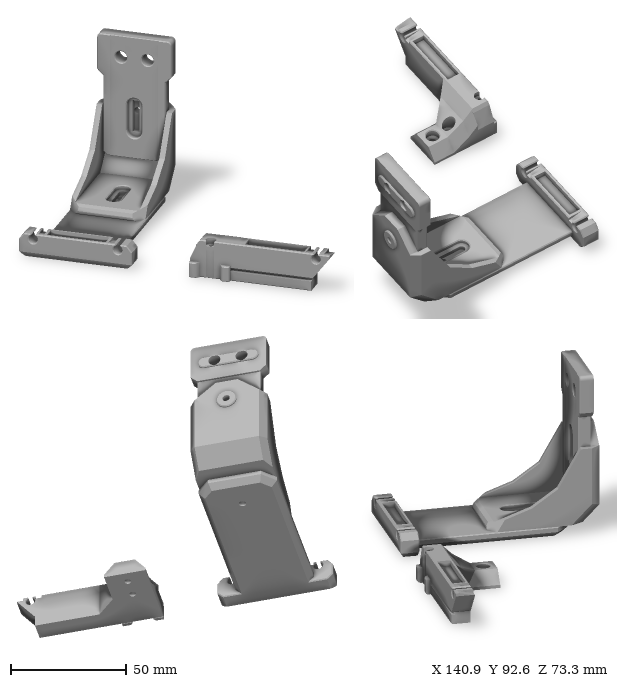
import cadquery as cq


OVERALL_LENGTH = 140.9
EDGE_BREAK = 0.4
SCREW_HOLE_D = 3.2

BAR_HALF_WIDTH = 25.8
BAR_DEPTH = 8.3
BAR_HEIGHT = 11.3
BAR_SHOULDER_WIDTH = 2.4
BAR_SHOULDER_HEIGHT = 3.0
UNDERSIDE_CHAMFER = 2.5
BAR_FRONT_CHAMFER = 1.7
ARM_HALF_WIDTH = 17.5
ARM_THICKNESS = 5.0
ARM_END_Y = 78.0
ARM_CORNER = 5.6
ARM_SCREW_Y = 64.2

NOTCH_D = 4.0
NOTCH_MOUTH = 1.8
NOTCH_DROP = 2.4
POCKET_DEPTH = 2.8
POCKET_FRONT_MARGIN = 1.4
POCKET_REAR_MARGIN = 1.3
RAMP_DEPTH = 1.7
BAR_NOTCH_X = 19.3
BAR_POCKET_HALF_LENGTH = 13.4
BAR_RAMP_INNER_X = 14.7
BAR_RAMP_OUTER_X = 17.2

BRACKET_HALF_WIDTH = 17.2
RIB_THICKNESS = 2.5
INNER_HALF_WIDTH = BRACKET_HALF_WIDTH - RIB_THICKNESS
WALL = 4.0
BACK_Y = 91.6
BACK_INNER_Y = BACK_Y - WALL
BASE_Z = ARM_THICKNESS
BASE_TOP_Z = BASE_Z + WALL
HEEL_CHAMFER = 7.5
INNER_SLOPE = 7.6
BASE_FRONT_Y = 41.5
BASE_FRONT_BEVEL_Y = 1.1
BASE_FRONT_BEVEL_Z = 2.4
RIB_TOP_Z = 39.9
RIB_TOP_FRONT_Y = 82.7
RIB_UPPER_BEND = (72.5, 22.4)
RIB_LOWER_BEND = (60.9, 14.5)
RIB_FRONT_Z = 7.9
BACK_TOP_Z = 47.8
BACK_TOP_HALF_WIDTH = 5.0
SIDE_BEVEL_X = 2.8
TOE_Y = 45.4
TOE_LEAN = 0.6
BOSS_D = 9.0
BOSS_HEIGHT = 1.0
BOSS_Z = 36.9

SLOT_TRAVEL = 11.7
SLOT_HEAD_WIDTH = 7.0
BASE_SLOT_Y = 60.5
BASE_SLOT_DEPTH = 2.0
PLATE_SLOT_Z = 35.2
PLATE_SLOT_DEPTH = 2.5
BRIDGE_STEP = 0.3

PLATE_FRONT_Y = 82.3
PLATE_TOP_Z = 73.3
PLATE_BOTTOM_Z = 16.5
PLATE_HALF_WIDTH = 16.9
PLATE_NECK_HALF_WIDTH = 14.1
PLATE_HEAD_Z = 56.4
PLATE_NECK_Z = PLATE_HEAD_Z - (PLATE_HALF_WIDTH - PLATE_NECK_HALF_WIDTH)
PLATE_HEAD_BACK_Y = 88.5
PLATE_CORNER_RADIUS = 1.8
PLATE_FOOT_CHAMFER = 1.7
PLATE_PANEL_HALF_WIDTH = 11.0
PLATE_PANEL_DEPTH = 0.1
BOLT_HOLE_D = 5.4
BOLT_X = 6.0
BOLT_Z = 63.3
KEY_LENGTH = 27.0
KEY_WIDTH = 5.6
KEY_HEIGHT = 1.0

PROBE_LIFT = 0.3
PROBE_LEFT_X = 51.5
PROBE_TIP_X = OVERALL_LENGTH - BAR_HALF_WIDTH
PROBE_TOP_Z = 17.5
BEAM_FRONT_Y = 1.8
BEAM_BACK_Y = 10.4
BEAM_TOP_LEFT_X = 56.4
BEAM_LEFT_BEND = (55.1, 15.9)
BEAM_LEFT_SLOPE_Z = 8.2
TIP_HEIGHT = 1.4
RAIL_END_X = 106.8
RAIL_TOP_Z = 4.5
GROOVE_DEPTH = 1.7
TIP_UNDER_X = 107.4
TIP_UNDER_Z = 5.9
BLOCK_BACK_Y = 33.1
BLOCK_TOP_Z = 7.3
BLOCK_TOP_LEFT_X = 56.2
BLOCK_TOP_RIGHT_X = 65.4
BLOCK_RIGHT_X = 70.0
BLOCK_BEVEL_DROP = 5.9
WEB_START_Y = 23.0
WEB_BEND_Y = 15.0
WEB_BEND_Z = 12.5
LEG_TOP_Z = 7.0
LEG_FLARE = 1.4
LEG_LEFT_INNER_X = 56.2
LEG_RIGHT_INNER_X = 65.2
PROBE_SCREW_X = 60.7
PROBE_SCREW_YS = (19.5, 27.9)
PROBE_SCREW_HOLE_D = 3.0
SCREW_HEAD_D = 5.9
SCREW_HEAD_FLOOR_Z = 4.0
SWITCH_Y = 3.4
SWITCH_HOLE_D = 4.6
SWITCH_HOLE_DEPTH = 2.7
SWITCH_PILOT_D = 1.8
SWITCH_PILOT_DEPTH = 1.4
SWITCH_GROOVE_WIDTH = 3.8
SWITCH_GROOVE_DEPTH = 0.3
PROBE_NOTCH_X = 108.9
PROBE_POCKET_X = (76.2, 103.1)
PROBE_RAMP_X = (104.0, 106.8)
PROBE_TIP_RAMP_X = 112.1


def box(x0, x1, y0, y1, z0, z1):
    """Box between two opposite corners."""
    return cq.Workplane("XY").box(x1 - x0, y1 - y0, z1 - z0, centered=False).translate((x0, y0, z0))


def prism_x(points, x0, x1):
    """(Y, Z) outline extruded from x0 to x1."""
    return cq.Workplane("YZ", origin=(x0, 0, 0)).polyline(points).close().extrude(x1 - x0)


def prism_y(points, y0, y1):
    """(X, Z) outline extruded from y0 to y1."""
    return cq.Workplane("XZ", origin=(0, y0, 0)).polyline(points).close().extrude(y0 - y1)


def prism_z(points, z0, z1):
    """(X, Y) outline extruded from z0 to z1."""
    return cq.Workplane("XY", origin=(0, 0, z0)).polyline(points).close().extrude(z1 - z0)


def cylinder_y(diameter, x, z, y0, y1):
    """Cylinder along Y."""
    return cq.Workplane("XZ", origin=(x, y0, z)).circle(diameter / 2).extrude(y0 - y1)


def cylinder_z(diameter, x, y, z0, z1):
    """Cylinder along Z."""
    return cq.Workplane("XY", origin=(x, y, z0)).circle(diameter / 2).extrude(z1 - z0)


def both_sides(shape):
    """The shape together with its mirror image across X = 0."""
    return shape.union(shape.mirror("YZ"))


def notch_cutter(x, top_z, y0, y1):
    """Round wire seat along Y with a narrow mouth in the top face, eased where it leaves both faces."""
    axis_z = top_z - NOTCH_DROP
    seat = cylinder_y(NOTCH_D, x, axis_z, y0, y1)
    for face_y, direction in ((y0, 1), (y1, -1)):
        seat = seat.union(hole_ease(NOTCH_D, (x, face_y, axis_z), (0, direction, 0)))
    half_mouth = NOTCH_MOUTH / 2
    mouth = box(x - half_mouth, x + half_mouth, y0, y1, axis_z, top_z)
    mouth_ease = prism_y(
        [
            (x - half_mouth - EDGE_BREAK, top_z),
            (x + half_mouth + EDGE_BREAK, top_z),
            (x + half_mouth, top_z - EDGE_BREAK),
            (x - half_mouth, top_z - EDGE_BREAK),
        ],
        y0,
        y1,
    )
    return seat.union(mouth).union(mouth_ease)


def ramp_cutter(x0, x1, top_z, start_y, end_y):
    """Ramp that falls from the top face at start_y to RAMP_DEPTH at end_y."""
    return prism_x([(start_y, top_z), (end_y, top_z), (end_y, top_z - RAMP_DEPTH)], x0, x1)


def pocket_cutter(x0, x1, top_z, y0, y1):
    """Long pocket in the top face of a bar that lies between y0 and y1."""
    return box(x0, x1, y0 + POCKET_FRONT_MARGIN, y1 - POCKET_REAR_MARGIN, top_z - POCKET_DEPTH, top_z)


def slot_cutter(depth, thickness, bridged):
    """Stepped screw slot along local Y, sunk from Z = 0 into a wall of the given thickness.

    A bridged slot has a full-width step below the head slot and a straight-ended shank slot.
    """
    head_length = SLOT_TRAVEL + SLOT_HEAD_WIDTH
    shank_length = SLOT_TRAVEL + SCREW_HOLE_D
    head = cq.Workplane("XY").slot2D(head_length, SLOT_HEAD_WIDTH, 90).extrude(-depth)
    ease = (
        cq.Workplane("XY")
        .slot2D(head_length + 2 * EDGE_BREAK, SLOT_HEAD_WIDTH + 2 * EDGE_BREAK, 90)
        .extrude(-EDGE_BREAK, taper=45)
    )
    head = head.union(ease)
    if not bridged:
        return head.union(cq.Workplane("XY").slot2D(shank_length, SCREW_HOLE_D, 90).extrude(-thickness))
    step = (
        cq.Workplane("XY").slot2D(head_length, SLOT_HEAD_WIDTH, 90).extrude(-depth - BRIDGE_STEP)
        .intersect(cq.Workplane("XY").rect(SLOT_HEAD_WIDTH, shank_length).extrude(-thickness))
    )
    return head.union(step).union(cq.Workplane("XY").rect(SCREW_HOLE_D, shank_length).extrude(-thickness))


def hole_ease(diameter, mouth, direction):
    """Chamfer cutter for the mouth of a round hole that runs along the given direction."""
    radius = diameter / 2
    cone = cq.Solid.makeCone(
        radius + EDGE_BREAK, radius, EDGE_BREAK, cq.Vector(*mouth), cq.Vector(*direction)
    )
    return cq.Workplane(cone)


def make_dock_arm():
    """Flat sliding arm with the cross bar that carries the dock."""
    arm_outline = [
        (-ARM_HALF_WIDTH, BAR_DEPTH / 2),
        (ARM_HALF_WIDTH, BAR_DEPTH / 2),
        (ARM_HALF_WIDTH, ARM_END_Y - ARM_CORNER),
        (ARM_HALF_WIDTH - ARM_CORNER, ARM_END_Y),
        (ARM_CORNER - ARM_HALF_WIDTH, ARM_END_Y),
        (-ARM_HALF_WIDTH, ARM_END_Y - ARM_CORNER),
    ]
    arm = prism_z(arm_outline, 0, ARM_THICKNESS)
    arm = arm.faces("<Z").chamfer(UNDERSIDE_CHAMFER).faces(">Z").chamfer(EDGE_BREAK)

    low_x = BAR_HALF_WIDTH - UNDERSIDE_CHAMFER
    top_x = BAR_HALF_WIDTH - BAR_SHOULDER_WIDTH
    right_side = [
        (low_x, 0),
        (BAR_HALF_WIDTH, UNDERSIDE_CHAMFER),
        (BAR_HALF_WIDTH, BAR_HEIGHT - BAR_SHOULDER_HEIGHT),
        (top_x, BAR_HEIGHT),
    ]
    left_side = [(-x, z) for x, z in reversed(right_side)]
    bar = prism_y(right_side + left_side, 0, BAR_DEPTH)
    bar = bar.faces("<Y or >Y").chamfer(EDGE_BREAK)
    bar = bar.cut(
        prism_x([(0, 0), (BAR_FRONT_CHAMFER, 0), (0, UNDERSIDE_CHAMFER)], -BAR_HALF_WIDTH, BAR_HALF_WIDTH)
    )

    body = arm.union(bar)
    body = body.cut(both_sides(notch_cutter(BAR_NOTCH_X, BAR_HEIGHT, 0, BAR_DEPTH)))
    body = body.cut(
        pocket_cutter(-BAR_POCKET_HALF_LENGTH, BAR_POCKET_HALF_LENGTH, BAR_HEIGHT, 0, BAR_DEPTH)
    )
    ramp = ramp_cutter(BAR_RAMP_INNER_X, BAR_RAMP_OUTER_X, BAR_HEIGHT, POCKET_FRONT_MARGIN, BAR_DEPTH)
    body = body.cut(both_sides(ramp))
    return body.cut(cylinder_z(SCREW_HOLE_D, 0, ARM_SCREW_Y, 0, ARM_THICKNESS))


def bracket_ribs():
    """Both side ribs and everything between them, as one solid before hollowing."""
    outline = [
        (BASE_FRONT_Y + EDGE_BREAK, BASE_Z),
        (BACK_Y - HEEL_CHAMFER, BASE_Z),
        (BACK_Y, BASE_Z + HEEL_CHAMFER),
        (BACK_Y, RIB_TOP_Z),
        (RIB_TOP_FRONT_Y, RIB_TOP_Z),
        RIB_UPPER_BEND,
        RIB_LOWER_BEND,
        (BASE_FRONT_Y, RIB_FRONT_Z),
        (BASE_FRONT_Y, BASE_Z + EDGE_BREAK),
    ]
    return prism_x(outline, -BRACKET_HALF_WIDTH, BRACKET_HALF_WIDTH)


def bracket_channel():
    """Space between the ribs, above the base and in front of the back wall."""
    outline = [
        (0, BASE_TOP_Z - BASE_FRONT_BEVEL_Z),
        (BASE_FRONT_Y, BASE_TOP_Z - BASE_FRONT_BEVEL_Z),
        (BASE_FRONT_Y + BASE_FRONT_BEVEL_Y, BASE_TOP_Z),
        (BACK_INNER_Y - INNER_SLOPE, BASE_TOP_Z),
        (BACK_INNER_Y, BASE_TOP_Z + INNER_SLOPE),
        (BACK_INNER_Y, BACK_TOP_Z),
        (0, BACK_TOP_Z),
    ]
    return prism_x(outline, -INNER_HALF_WIDTH, INNER_HALF_WIDTH)


def bracket_side_bevels():
    """Wedges that bevel the outer edges of the back and of the sloping heel."""
    back = prism_z(
        [
            (BRACKET_HALF_WIDTH, BACK_INNER_Y),
            (BRACKET_HALF_WIDTH, BACK_Y),
            (BRACKET_HALF_WIDTH - SIDE_BEVEL_X, BACK_Y),
        ],
        0,
        BACK_TOP_Z,
    )
    heel_axis = (0, BACK_Y, BASE_Z + HEEL_CHAMFER)
    heel_axis_end = (1, BACK_Y, BASE_Z + HEEL_CHAMFER)
    heel = back.translate((0, 0, -BACK_TOP_Z / 2)).rotate(heel_axis, heel_axis_end, -45)
    return both_sides(back.union(heel))


def bracket_toe_cuts():
    """Leaning 45 degree cuts across the front ends of the ribs."""
    height = RIB_TOP_Z - BASE_Z
    reach = 2 * RIB_THICKNESS + WALL

    def triangle(lean):
        corner_y = TOE_Y + lean
        return [
            (BRACKET_HALF_WIDTH, corner_y),
            (BRACKET_HALF_WIDTH, corner_y - reach),
            (BRACKET_HALF_WIDTH - reach, corner_y - reach),
        ]

    cut = (
        cq.Workplane("XY", origin=(0, 0, BASE_Z)).polyline(triangle(0)).close()
        .workplane(offset=height).polyline(triangle(TOE_LEAN * height)).close()
        .loft(ruled=True)
    )
    return both_sides(cut)


def make_bracket():
    """Angle bracket: base, back wall, two side ribs and a screw boss behind."""
    back_top = prism_y(
        [
            (-INNER_HALF_WIDTH + EDGE_BREAK, RIB_TOP_Z),
            (INNER_HALF_WIDTH - EDGE_BREAK, RIB_TOP_Z),
            (BACK_TOP_HALF_WIDTH, BACK_TOP_Z),
            (-BACK_TOP_HALF_WIDTH, BACK_TOP_Z),
        ],
        BACK_INNER_Y,
        BACK_Y,
    )
    body = bracket_ribs().cut(bracket_channel()).cut(bracket_side_bevels()).cut(bracket_toe_cuts())
    body = body.union(back_top)
    boss = cylinder_y(BOSS_D, 0, BOSS_Z, BACK_Y, BACK_Y + BOSS_HEIGHT).faces(">Y").chamfer(EDGE_BREAK)
    body = body.union(boss)
    body = body.cut(cylinder_y(SCREW_HOLE_D, 0, BOSS_Z, BACK_INNER_Y, BACK_Y + BOSS_HEIGHT))
    slot = slot_cutter(BASE_SLOT_DEPTH, WALL, bridged=False)
    return body.cut(slot.translate((0, BASE_SLOT_Y, BASE_TOP_Z)))


def make_mounting_plate():
    """Height-adjustable plate that bolts to an extrusion and slides in front of the bracket's back wall."""
    right_side = [
        (PLATE_NECK_HALF_WIDTH - PLATE_FOOT_CHAMFER, PLATE_BOTTOM_Z),
        (PLATE_NECK_HALF_WIDTH, PLATE_BOTTOM_Z + PLATE_FOOT_CHAMFER),
        (PLATE_NECK_HALF_WIDTH, PLATE_NECK_Z),
        (PLATE_HALF_WIDTH, PLATE_HEAD_Z),
        (PLATE_HALF_WIDTH, PLATE_TOP_Z),
    ]
    left_side = [(-x, z) for x, z in reversed(right_side)]
    body = prism_y(right_side + left_side, PLATE_FRONT_Y, PLATE_HEAD_BACK_Y)
    body = body.edges("|Y and >Z").fillet(PLATE_CORNER_RADIUS)
    body = body.faces("<Y").chamfer(EDGE_BREAK)
    body = body.cut(
        box(
            -PLATE_HALF_WIDTH, PLATE_HALF_WIDTH,
            BACK_INNER_Y, PLATE_HEAD_BACK_Y,
            PLATE_BOTTOM_Z, PLATE_NECK_Z,
        )
    )
    body = body.cut(
        box(
            -PLATE_PANEL_HALF_WIDTH, PLATE_PANEL_HALF_WIDTH,
            PLATE_FRONT_Y, PLATE_FRONT_Y + PLATE_PANEL_DEPTH,
            PLATE_BOTTOM_Z, PLATE_TOP_Z,
        )
    )

    key_back_y = PLATE_HEAD_BACK_Y + KEY_HEIGHT
    key = (
        cq.Workplane("XZ", origin=(0, PLATE_HEAD_BACK_Y, BOLT_Z))
        .slot2D(KEY_LENGTH, KEY_WIDTH).extrude(-KEY_HEIGHT)
        .faces(">Y").chamfer(EDGE_BREAK)
    )
    body = body.union(key)
    panel_y = PLATE_FRONT_Y + PLATE_PANEL_DEPTH
    for x in (-BOLT_X, BOLT_X):
        body = body.cut(cylinder_y(BOLT_HOLE_D, x, BOLT_Z, PLATE_FRONT_Y, key_back_y))
        body = body.cut(hole_ease(BOLT_HOLE_D, (x, panel_y, BOLT_Z), (0, 1, 0)))

    slot = slot_cutter(PLATE_SLOT_DEPTH, BACK_INNER_Y - panel_y, bridged=True)
    slot = slot.rotate((0, 0, 0), (1, 0, 0), 90)
    return body.cut(slot.translate((0, panel_y, PLATE_SLOT_Z)))


def probe_beam():
    """Long beam with a raked left end, an overhanging tip and a groove above its lower rail."""
    outline = [
        (PROBE_LEFT_X, 0),
        (RAIL_END_X, 0),
        (RAIL_END_X, TIP_UNDER_Z - EDGE_BREAK),
        (TIP_UNDER_X, TIP_UNDER_Z),
        (PROBE_TIP_X, PROBE_TOP_Z - TIP_HEIGHT),
        (PROBE_TIP_X, PROBE_TOP_Z),
        (BEAM_TOP_LEFT_X, PROBE_TOP_Z),
        BEAM_LEFT_BEND,
        (PROBE_LEFT_X, BEAM_LEFT_SLOPE_Z),
    ]
    beam = prism_y(outline, BEAM_FRONT_Y, BEAM_BACK_Y)
    groove = prism_x(
        [
            (BEAM_FRONT_Y, RAIL_TOP_Z),
            (BEAM_FRONT_Y + GROOVE_DEPTH, RAIL_TOP_Z),
            (BEAM_FRONT_Y, RAIL_TOP_Z + GROOVE_DEPTH),
        ],
        BLOCK_RIGHT_X,
        PROBE_TIP_X,
    )
    lower_ease = prism_x(
        [(BEAM_FRONT_Y, 0), (BEAM_FRONT_Y + EDGE_BREAK, 0), (BEAM_FRONT_Y, EDGE_BREAK)],
        PROBE_LEFT_X,
        PROBE_TIP_X,
    )
    beam = beam.faces(">Z").edges("<Y or >Y").chamfer(EDGE_BREAK)
    return beam.cut(groove).cut(lower_ease)


def probe_block():
    """Screw block that rises along a web to the top of the beam, bevelled on its outer side."""
    stations = [
        (BLOCK_BACK_Y, BLOCK_TOP_Z, BLOCK_TOP_RIGHT_X),
        (WEB_START_Y, BLOCK_TOP_Z, BLOCK_TOP_RIGHT_X),
        (WEB_BEND_Y, WEB_BEND_Z, BLOCK_TOP_RIGHT_X + WEB_START_Y - WEB_BEND_Y),
        (BEAM_BACK_Y, PROBE_TOP_Z - EDGE_BREAK, BLOCK_TOP_RIGHT_X + WEB_START_Y - BEAM_BACK_Y),
    ]

    def section(top_z, right_x):
        return [
            (PROBE_LEFT_X, 0),
            (PROBE_LEFT_X, top_z - BLOCK_BEVEL_DROP),
            (BLOCK_TOP_LEFT_X, top_z),
            (right_x, top_z),
            (right_x, 0),
        ]

    flank = [
        (BLOCK_TOP_RIGHT_X, 0),
        (BLOCK_TOP_RIGHT_X, BLOCK_TOP_Z),
        (BLOCK_RIGHT_X, BLOCK_TOP_Z - BLOCK_BEVEL_DROP),
        (BLOCK_RIGHT_X, 0),
    ]
    block = prism_y(flank, BEAM_BACK_Y, BLOCK_BACK_Y)
    for (y0, z0, x0), (y1, z1, x1) in zip(stations, stations[1:]):
        segment = (
            cq.Workplane("XZ", origin=(0, y0, 0)).polyline(section(z0, x0)).close()
            .workplane(offset=y0 - y1).polyline(section(z1, x1)).close()
            .loft(ruled=True)
        )
        block = block.union(segment)
    return block


def probe_legs():
    """Two short legs in front of the beam with a dovetail gap between them."""
    left = [
        (PROBE_LEFT_X, BEAM_FRONT_Y),
        (PROBE_LEFT_X, 0),
        (LEG_LEFT_INNER_X - LEG_FLARE, 0),
        (LEG_LEFT_INNER_X, BEAM_FRONT_Y),
    ]
    right = [
        (LEG_RIGHT_INNER_X, BEAM_FRONT_Y),
        (LEG_RIGHT_INNER_X + LEG_FLARE, 0),
        (BLOCK_RIGHT_X, 0),
        (BLOCK_RIGHT_X, BEAM_FRONT_Y),
    ]
    legs = prism_z(left, 0, LEG_TOP_Z).union(prism_z(right, 0, LEG_TOP_Z))
    return legs.faces("<Y").chamfer(EDGE_BREAK)


def make_probe_arm():
    """Probe arm: beam, screw block and legs, with its holes, pocket, notch and ramps."""
    body = probe_beam().union(probe_block()).union(probe_legs())
    for y in PROBE_SCREW_YS:
        floor = (PROBE_SCREW_X, y, SCREW_HEAD_FLOOR_Z)
        body = body.cut(cylinder_z(PROBE_SCREW_HOLE_D, PROBE_SCREW_X, y, 0, PROBE_TOP_Z))
        body = body.cut(cylinder_z(SCREW_HEAD_D, PROBE_SCREW_X, y, SCREW_HEAD_FLOOR_Z, PROBE_TOP_Z))
        body = body.cut(hole_ease(PROBE_SCREW_HOLE_D, floor, (0, 0, -1)))
    rear_mouth = (PROBE_SCREW_X, max(PROBE_SCREW_YS), BLOCK_TOP_Z)
    body = body.cut(hole_ease(SCREW_HEAD_D, rear_mouth, (0, 0, -1)))

    switch_floor_z = PROBE_TOP_Z - SWITCH_HOLE_DEPTH
    half_groove = SWITCH_GROOVE_WIDTH / 2
    body = body.cut(cylinder_z(SWITCH_HOLE_D, PROBE_SCREW_X, SWITCH_Y, switch_floor_z, PROBE_TOP_Z))
    body = body.cut(
        cylinder_z(SWITCH_PILOT_D, PROBE_SCREW_X, SWITCH_Y, switch_floor_z - SWITCH_PILOT_DEPTH, PROBE_TOP_Z)
    )
    body = body.cut(
        box(
            PROBE_SCREW_X - half_groove, PROBE_SCREW_X + half_groove,
            BEAM_FRONT_Y, BEAM_FRONT_Y + SWITCH_GROOVE_DEPTH,
            0, PROBE_TOP_Z,
        )
    )

    ramp_start_y = BEAM_FRONT_Y + POCKET_FRONT_MARGIN
    body = body.cut(pocket_cutter(*PROBE_POCKET_X, PROBE_TOP_Z, BEAM_FRONT_Y, BEAM_BACK_Y))
    body = body.cut(notch_cutter(PROBE_NOTCH_X, PROBE_TOP_Z, BEAM_FRONT_Y, BEAM_BACK_Y))
    body = body.cut(ramp_cutter(*PROBE_RAMP_X, PROBE_TOP_Z, ramp_start_y, BEAM_BACK_Y))
    body = body.cut(ramp_cutter(PROBE_TIP_RAMP_X, PROBE_TIP_X, PROBE_TOP_Z, ramp_start_y, BEAM_BACK_Y))
    return body.translate((0, 0, PROBE_LIFT))


dock_arm = make_dock_arm()
bracket = make_bracket()
mounting_plate = make_mounting_plate()
probe_arm = make_probe_arm()

result = cq.Compound.makeCompound(
    [dock_arm.val(), bracket.val(), mounting_plate.val(), probe_arm.val()]
)